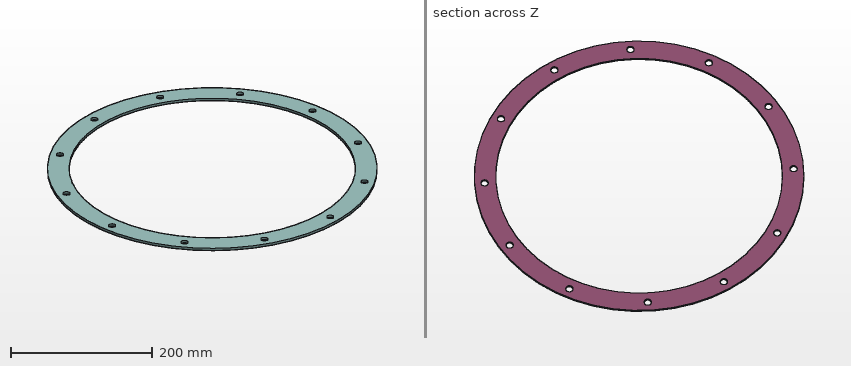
import cadquery as cq

outer_diameter = 467.0
inner_diameter = 405.5
thickness = 4.0
bolt_circle_diameter = 438.0
hole_diameter = 10.0
hole_count = 12

ring = (
    cq.Workplane("XY")
    .circle(outer_diameter / 2)
    .circle(inner_diameter / 2)
    .extrude(thickness)
)

bolt_holes = (
    cq.Workplane("XY")
    .polarArray(bolt_circle_diameter / 2, 0, 360, hole_count)
    .circle(hole_diameter / 2)
    .extrude(thickness)
)

result = ring.cut(bolt_holes)